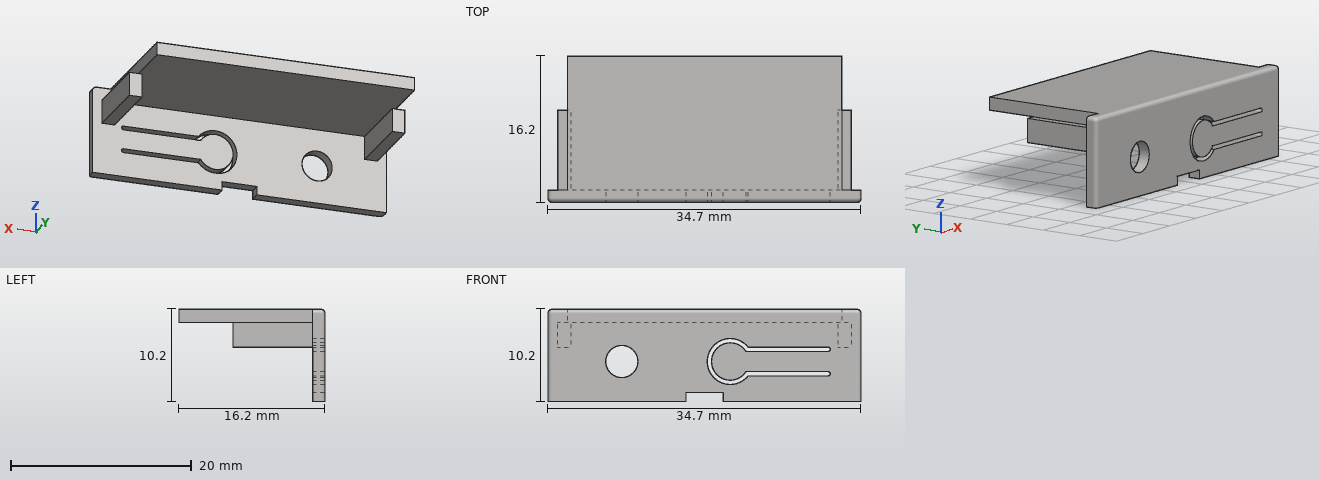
import cadquery as cq

plate_width = 34.7
plate_height = 10.25
plate_thickness = 1.4
edge_radius = 0.5

total_depth = 16.2
shelf_width = 30.4
shelf_thickness = 1.5
rail_span = 32.5
rail_width = 1.5
rail_length = 8.85
rail_height = 2.75

opening_z = -5.8
hole_x = -9.15
hole_diameter = 3.55
notch_width = 4.1
notch_height = 1.0

button_x = 2.85
button_radius = 2.08
gap = 0.45
tongue_width = 2.25
slot_end_x = 13.9


def box(width, depth, height, x, y, z):
    """Box centred on x, with its front face at y and its top face at z."""
    return cq.Workplane("XY").box(width, depth, height, centered=(True, False, False)).translate(
        (x, y, z - height)
    )


def plate_cylinder(radius, x, z):
    """Cylinder passing through the plate thickness."""
    return (
        cq.Workplane("XZ", origin=(x, 0, z))
        .circle(radius)
        .extrude(-plate_thickness)
    )


def make_plate():
    """Plate rounded around its front face and top corners, square at the bottom."""
    plate = box(plate_width, plate_thickness, plate_height, 0, 0, 0)
    front_edges = plate.faces("<Y").edges("not <Z")
    top_corner_edges = plate.faces(">Z").edges("|Y")
    return plate.newObject(front_edges.vals() + top_corner_edges.vals()).fillet(edge_radius)


def make_button_cut():
    """Round gap opening into two parallel slots with rounded ends."""
    slot_offset = (tongue_width + gap) / 2
    slot_end_center = slot_end_x - gap / 2
    slot_length = slot_end_center - button_x
    cut = plate_cylinder(button_radius + gap, button_x, opening_z)
    for side in (-1, 1):
        slot_z = opening_z + side * slot_offset
        slot_center_x = button_x + slot_length / 2
        cut = cut.union(box(slot_length, plate_thickness, gap, slot_center_x, 0, slot_z + gap / 2))
        cut = cut.union(plate_cylinder(gap / 2, slot_end_center, slot_z))
    tongue = box(
        slot_length, plate_thickness, tongue_width,
        button_x + slot_length / 2, 0, opening_z + tongue_width / 2,
    )
    button = plate_cylinder(button_radius, button_x, opening_z)
    return cut.cut(button).cut(tongue)


result = make_plate()
result = result.cut(plate_cylinder(hole_diameter / 2, hole_x, opening_z))
result = result.cut(make_button_cut())
result = result.cut(
    box(notch_width, plate_thickness, notch_height, 0, 0, notch_height - plate_height)
)

result = result.union(
    box(shelf_width, total_depth - plate_thickness, shelf_thickness, 0, plate_thickness, 0)
)
for side in (-1, 1):
    rail_x = side * (rail_span - rail_width) / 2
    result = result.union(
        box(rail_width, rail_length, rail_height, rail_x, plate_thickness, -shelf_thickness)
    )